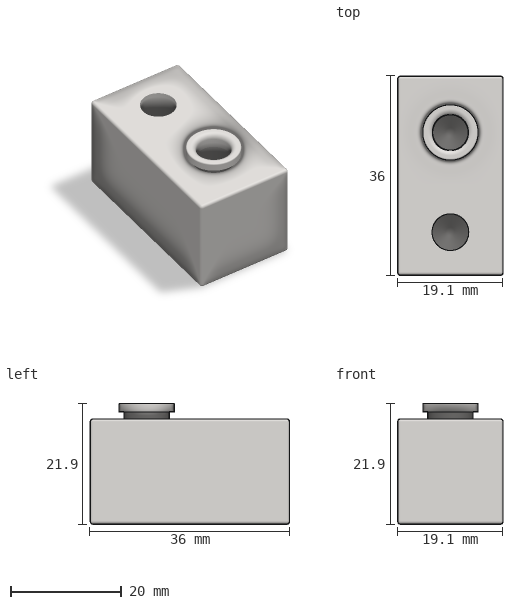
import cadquery as cq
import math

block_width = 19.05
block_length = 36.0
block_height = 19.05
edge_radius = 0.55

total_height = 21.85
neck_diameter = 8.2
neck_height = 1.25
flange_diameter = 10.0
flange_edge_radius = 0.25
ferrule_bore = 6.4
mouth_radius = 0.97

hole_diameter = 6.62
hole_depth = 12.95
drill_point_angle = 118.0
ferrule_y = 7.8
hole_spacing = 18.0
plain_hole_y = ferrule_y - hole_spacing


def make_block():
    block = cq.Workplane("XY").box(
        block_width, block_length, block_height, centered=(True, True, False)
    )
    return block.edges().fillet(edge_radius)


def make_ferrule():
    """Revolve the ring section: neck, flange and rounded bore mouth."""
    bore_r = ferrule_bore / 2
    neck_r = neck_diameter / 2
    flange_r = flange_diameter / 2
    flange_bottom = block_height + neck_height
    mouth_bend = mouth_radius * (1 - math.sqrt(0.5))
    edge_bend = flange_edge_radius * (1 - math.sqrt(0.5))
    section = (
        cq.Workplane("XZ")
        .moveTo(bore_r, block_height)
        .lineTo(neck_r, block_height)
        .lineTo(neck_r, flange_bottom)
        .lineTo(flange_r, flange_bottom)
        .lineTo(flange_r, total_height - flange_edge_radius)
        .threePointArc(
            (flange_r - edge_bend, total_height - edge_bend),
            (flange_r - flange_edge_radius, total_height),
        )
        .lineTo(bore_r + mouth_radius, total_height)
        .threePointArc(
            (bore_r + mouth_bend, total_height - mouth_bend),
            (bore_r, total_height - mouth_radius),
        )
        .close()
    )
    ring = section.revolve(360, (0, 0, 0), (0, 1, 0))
    return ring.translate((0, ferrule_y, 0))


def make_drilled_hole(y):
    """Cutter for a blind hole sunk from the top face of the block."""
    radius = hole_diameter / 2
    shoulder = block_height - hole_depth
    point_length = radius / math.tan(math.radians(drill_point_angle / 2))
    cutter = (
        cq.Workplane("XZ")
        .moveTo(0, block_height)
        .lineTo(radius, block_height)
        .lineTo(radius, shoulder)
        .lineTo(0, shoulder - point_length)
        .close()
        .revolve(360, (0, 0, 0), (0, 1, 0))
    )
    return cutter.translate((0, y, 0))


result = make_block()
for hole_y in (ferrule_y, plain_hole_y):
    result = result.cut(make_drilled_hole(hole_y))
result = result.union(make_ferrule())